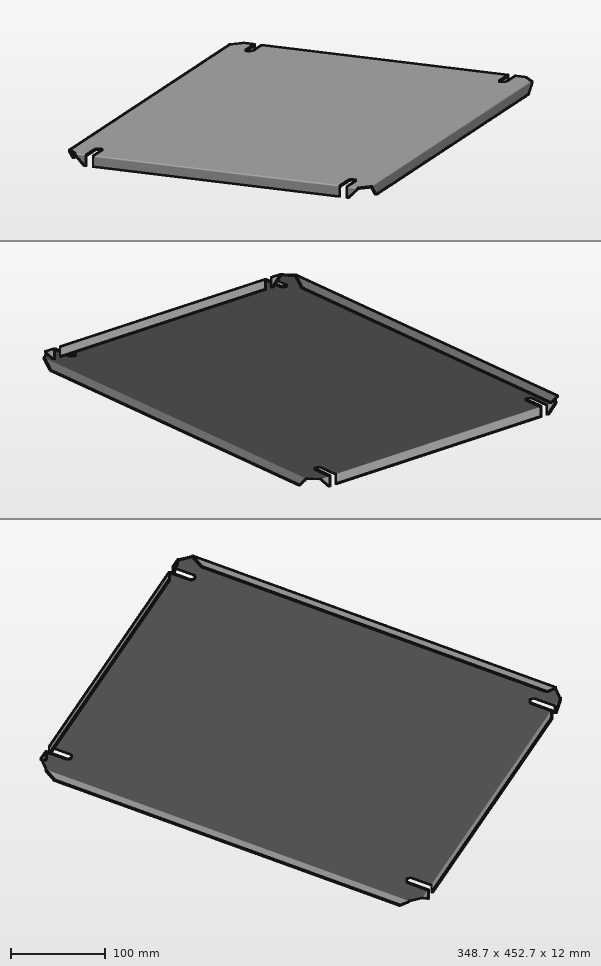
import cadquery as cq

width = 348.73
length = 452.73
height = 12.0

thickness = 1.5
bend_inner_radius = 0.1
bend_outer_radius = thickness + bend_inner_radius

corner_setback = 12.15

slot_width = 8.3
slot_depth = 28.5
slot_spacing = 291.5


def folded_sheet():
    """Top plate with a rim folded down along all four edges."""
    outer = (
        cq.Workplane("XY")
        .box(width, length, height, centered=(True, True, False))
        .translate((0, 0, -height))
        .faces(">Z")
        .edges()
        .fillet(bend_outer_radius)
    )
    inner = (
        cq.Workplane("XY")
        .box(width - 2 * thickness, length - 2 * thickness, height, centered=(True, True, False))
        .translate((0, 0, -height - thickness))
        .faces(">Z")
        .edges()
        .fillet(bend_inner_radius)
    )
    return outer.cut(inner)


def corner_plate_cut():
    """Prism that bevels the plate in the +X +Y corner and parts the folds there."""
    x_edge = width / 2
    y_edge = length / 2
    return (
        cq.Workplane("XY")
        .workplane(offset=-height)
        .polyline([
            (x_edge, y_edge),
            (x_edge, y_edge - corner_setback),
            (x_edge - bend_outer_radius, y_edge - corner_setback),
            (x_edge - corner_setback, y_edge - bend_outer_radius),
            (x_edge - corner_setback, y_edge),
        ])
        .close()
        .extrude(height)
    )


def flange_end_cut(plane, edge, inward_offset):
    """Triangular prism that bevels a flange end at 45 degrees below its bend."""
    drop = height - bend_outer_radius
    start = edge - corner_setback
    return (
        cq.Workplane(plane)
        .workplane(offset=inward_offset)
        .polyline([
            (start, -bend_outer_radius),
            (start - drop, -height),
            (start, -height),
        ])
        .close()
        .extrude(bend_outer_radius)
    )


def corner_cut():
    """All material removed at the +X +Y corner."""
    end_flange = flange_end_cut("XZ", width / 2, -length / 2)
    side_flange = flange_end_cut("YZ", length / 2, width / 2 - bend_outer_radius)
    return corner_plate_cut().union(end_flange).union(side_flange)


def slot_cut():
    """Round-ended slot in the +X half of the +Y edge, running through plate and flange."""
    radius = slot_width / 2
    x_center = slot_spacing / 2
    y_edge = length / 2
    y_arc = y_edge - slot_depth + radius
    return (
        cq.Workplane("XY")
        .workplane(offset=-height)
        .moveTo(x_center - radius, y_edge)
        .lineTo(x_center - radius, y_arc)
        .threePointArc((x_center, y_edge - slot_depth), (x_center + radius, y_arc))
        .lineTo(x_center + radius, y_edge)
        .close()
        .extrude(height)
    )


def at_four_corners(cutter):
    """The cutter together with its mirror images in the other three quadrants."""
    pair = cutter.union(cutter.mirror("YZ"))
    return pair.union(pair.mirror("XZ"))


result = folded_sheet()
for quadrant_cutter in (corner_cut(), slot_cut()):
    result = result.cut(at_four_corners(quadrant_cutter))